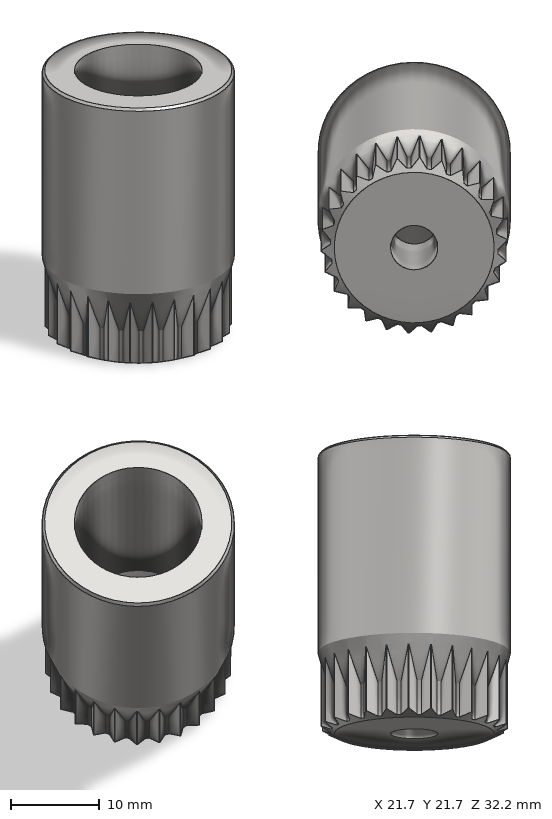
import cadquery as cq
import math

length = 32.2
body_radius = 21.7 / 2
top_chamfer = 0.3

bore_radius = 14.4 / 2
hole_radius = 5.3 / 2
bore_end_z = 9.35
floor_angle = 8.0

tooth_count = 26
tip_radius = 10.53
root_radius = 9.47
tip_width = 0.1
root_width = 0.48
taper_top_z = 9.3
taper_angle = 15.0
end_face_radius = 9.0
end_chamfer_height = 0.75


def make_sleeve():
    """Turned blank: cylinder that tapers down to the root of the teeth."""
    taper_height = (body_radius - root_radius) / math.tan(math.radians(taper_angle))
    profile = (
        cq.Workplane("XZ")
        .lineTo(root_radius, 0)
        .lineTo(root_radius, taper_top_z - taper_height)
        .lineTo(body_radius, taper_top_z)
        .lineTo(body_radius, length - top_chamfer)
        .lineTo(body_radius - top_chamfer, length)
        .lineTo(0, length)
        .close()
    )
    return profile.revolve(360, (0, 0, 0), (0, 1, 0))


def make_teeth():
    """Toothed prism with narrow flat tips and flat roots; one tip lies on +X."""
    pitch = 2 * math.pi / tooth_count
    tip_half_angle = math.asin(tip_width / 2 / tip_radius)
    root_half_angle = math.asin(root_width / 2 / root_radius)
    points = []
    for tooth in range(tooth_count):
        tip = tooth * pitch
        root = tip + pitch / 2
        corners = [
            (tip_radius, tip - tip_half_angle),
            (tip_radius, tip + tip_half_angle),
            (root_radius, root - root_half_angle),
            (root_radius, root + root_half_angle),
        ]
        for radius, angle in corners:
            points.append((radius * math.cos(angle), radius * math.sin(angle)))
    return cq.Workplane("XY").polyline(points).close().extrude(taper_top_z)


def make_end_envelope():
    """Solid of revolution that bevels the free end of the teeth."""
    bevel_slope = (tip_radius - end_face_radius) / end_chamfer_height
    profile = (
        cq.Workplane("XZ")
        .lineTo(end_face_radius, 0)
        .lineTo(end_face_radius + bevel_slope * length, length)
        .lineTo(0, length)
        .close()
    )
    return profile.revolve(360, (0, 0, 0), (0, 1, 0))


def make_bore():
    """Wide bore from the top, conical floor, then a through hole."""
    floor_drop = (bore_radius - hole_radius) * math.tan(math.radians(floor_angle))
    profile = (
        cq.Workplane("XZ")
        .lineTo(hole_radius, 0)
        .lineTo(hole_radius, bore_end_z - floor_drop)
        .lineTo(bore_radius, bore_end_z)
        .lineTo(bore_radius, length)
        .lineTo(0, length)
        .close()
    )
    return profile.revolve(360, (0, 0, 0), (0, 1, 0))


result = make_sleeve().union(make_teeth()).intersect(make_end_envelope()).cut(make_bore())